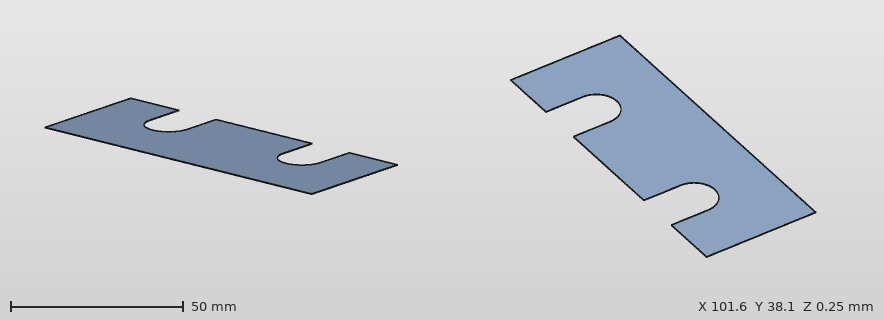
import cadquery as cq

length = 101.6
width = 38.1
thickness = 0.25

slot_width = 14.2
slot_depth = 19.9
slot_spacing = length / 2

slot_radius = slot_width / 2
back_edge = width / 2
arc_center_y = back_edge - slot_depth + slot_radius


def open_slot(center_x):
    """Cutter for one slot: straight sides from the back edge, semicircular end."""
    return (
        cq.Workplane("XY")
        .moveTo(center_x - slot_radius, back_edge)
        .lineTo(center_x - slot_radius, arc_center_y)
        .threePointArc(
            (center_x, arc_center_y - slot_radius),
            (center_x + slot_radius, arc_center_y),
        )
        .lineTo(center_x + slot_radius, back_edge)
        .close()
        .extrude(thickness)
    )


result = cq.Workplane("XY").box(length, width, thickness, centered=(True, True, False))
for side in (-1, 1):
    result = result.cut(open_slot(side * slot_spacing / 2))